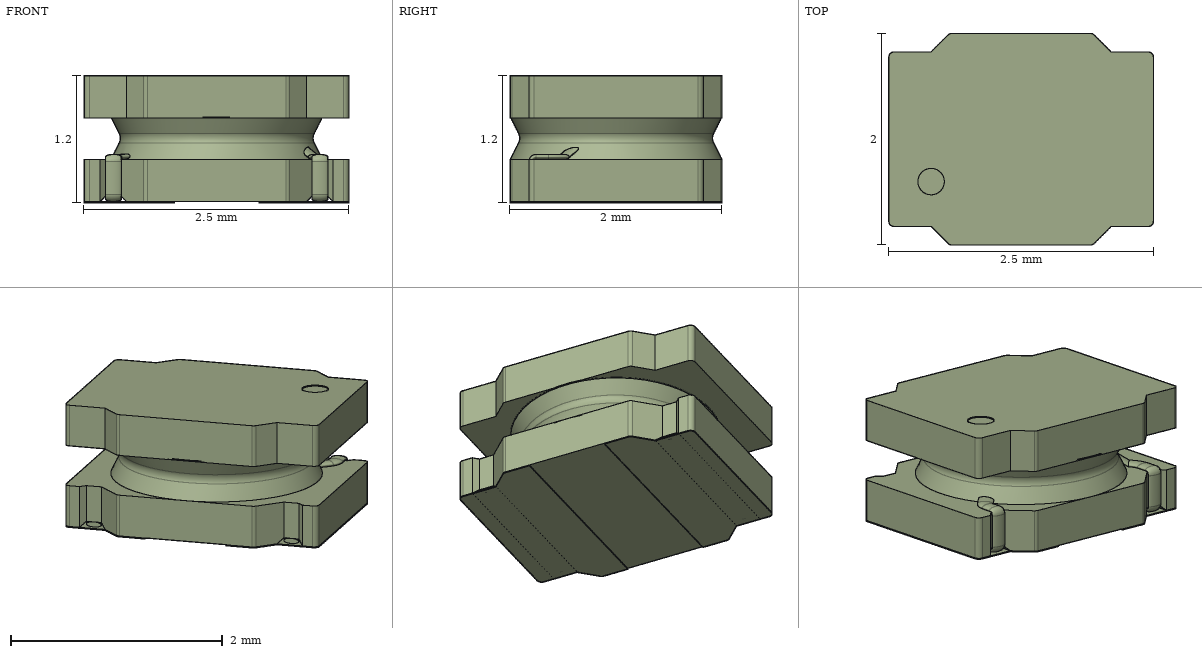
import cadquery as cq
import math

LENGTH = 2.5
WIDTH = 2.0
HEIGHT = 1.2
WING_WIDTH = 1.65
WING_ROOT_X = 0.85
CORNER_RADIUS = 0.05
FLANGE_THICKNESS = 0.4
POST_DIAMETER = 1.0

MARK_DIAMETER = 0.25
MARK_DEPTH = 0.01
MARK_X = -0.85
MARK_Y = -0.4

TERMINAL_THICKNESS = 0.01
TERMINAL_INNER_X = 0.4

RESIN_END_RADIUS = 1.0
RESIN_GROOVE_DEPTH = 0.1
RESIN_GROOVE_RADIUS = 0.1
RESIN_HEIGHT = 0.4

WINDING_RADIUS = 0.75
WIRE_WIDTH = 0.15
WIRE_THICKNESS = 0.05
LEAD_X = 0.975
LEAD_BEND_RADIUS = 0.045
LEAD_RISE = 0.022
LEAD_TURN_ANGLE = 45.0
LEFT_TURN_Y = -0.65
LEFT_TURN_RADIUS = 0.112
LEFT_REACH = 0.45
LEFT_CLIMB = 0.012
RIGHT_TURN_Y = -0.638
RIGHT_TURN_RADIUS = 0.2
RIGHT_REACH = 0.4
RIGHT_CLIMB = 0.238

CHANNEL_DEPTH = WIRE_THICKNESS
CHANNEL_FLOOR = WIRE_WIDTH

FLANGE_BOTTOM_Z = TERMINAL_THICKNESS
FLANGE_TOP_Z = FLANGE_BOTTOM_Z + FLANGE_THICKNESS
UPPER_FLANGE_Z = HEIGHT - FLANGE_THICKNESS


def make_plate(bottom_z, thickness):
    """Plate with the flange outline: a wide middle, narrower wings, rounded outer corners."""
    shoulder = (WIDTH - WING_WIDTH) / 2
    wings = cq.Workplane().rect(LENGTH, WING_WIDTH).extrude(thickness)
    wings = wings.edges("|Z").fillet(CORNER_RADIUS)
    middle_corner_x = WING_ROOT_X - shoulder
    middle = (
        cq.Workplane()
        .polyline([
            (WING_ROOT_X, -WING_WIDTH / 2),
            (WING_ROOT_X, WING_WIDTH / 2),
            (middle_corner_x, WIDTH / 2),
            (-middle_corner_x, WIDTH / 2),
            (-WING_ROOT_X, WING_WIDTH / 2),
            (-WING_ROOT_X, -WING_WIDTH / 2),
            (-middle_corner_x, -WIDTH / 2),
            (middle_corner_x, -WIDTH / 2),
        ])
        .close()
        .extrude(thickness)
    )
    middle = middle.faces("<Y or >Y").edges("|Z").fillet(CORNER_RADIUS)
    return wings.union(middle).translate((0, 0, bottom_z))


def make_axis_cylinder(radius):
    """Cylinder on the post axis, from the bottom flange to the resin seat in the top flange."""
    return cq.Workplane(origin=(0, 0, FLANGE_TOP_Z)).circle(radius).extrude(RESIN_HEIGHT)


def make_channels(x):
    """Cutter for one lead: up both sides of the bottom flange and along its underside."""
    half_floor = CHANNEL_FLOOR / 2
    half_mouth = half_floor + CHANNEL_DEPTH
    side_y = WING_WIDTH / 2
    floor_y = side_y - CHANNEL_DEPTH
    cutter = (
        cq.Workplane("XZ", origin=(x, WIDTH / 2, FLANGE_BOTTOM_Z))
        .polyline([
            (-half_mouth, 0),
            (half_mouth, 0),
            (half_floor, CHANNEL_DEPTH),
            (-half_floor, CHANNEL_DEPTH),
        ])
        .close()
        .extrude(WIDTH)
    )
    for side in (-1, 1):
        side_cut = (
            cq.Workplane(origin=(x, 0, FLANGE_BOTTOM_Z))
            .polyline([
                (-half_mouth, side * side_y),
                (half_mouth, side * side_y),
                (half_floor, side * floor_y),
                (-half_floor, side * floor_y),
            ])
            .close()
            .extrude(FLANGE_THICKNESS)
        )
        cutter = cutter.union(side_cut)
    return cutter


def make_resin_envelope():
    """Solid of revolution of the resin outside, from the post axis outwards."""
    slope = math.atan2(RESIN_GROOVE_DEPTH, RESIN_HEIGHT / 2)
    waist_radius = RESIN_END_RADIUS - RESIN_GROOVE_DEPTH
    tangent = RESIN_GROOVE_RADIUS * math.tan(slope)
    arc_end_r = waist_radius + tangent * math.sin(slope)
    arc_end_z = tangent * math.cos(slope)
    arc_mid_r = waist_radius + RESIN_GROOVE_RADIUS * (1 / math.cos(slope) - 1)
    return (
        cq.Workplane("XZ", origin=(0, 0, FLANGE_TOP_Z + RESIN_HEIGHT / 2))
        .moveTo(0, -RESIN_HEIGHT / 2)
        .lineTo(RESIN_END_RADIUS, -RESIN_HEIGHT / 2)
        .lineTo(arc_end_r, -arc_end_z)
        .threePointArc((arc_mid_r, 0), (arc_end_r, arc_end_z))
        .lineTo(RESIN_END_RADIUS, RESIN_HEIGHT / 2)
        .lineTo(0, RESIN_HEIGHT / 2)
        .close()
        .revolve(360, (0, 0), (0, 1))
    )


def make_lead(side, turn_y, turn_radius, reach, climb):
    """One lead, from the underside of the bottom flange into the winding."""
    x = side * LEAD_X
    bend = LEAD_BEND_RADIUS
    bend_mid = bend * (1 - math.sqrt(0.5))
    half_thickness = WIRE_THICKNESS / 2
    side_y = -WING_WIDTH / 2 + half_thickness
    low_z = FLANGE_BOTTOM_Z + half_thickness
    high_z = FLANGE_TOP_Z + LEAD_RISE
    far_y = WING_WIDTH / 2 - CHANNEL_DEPTH
    angle = math.radians(LEAD_TURN_ANGLE)

    def turn_point(turned):
        """Centreline point after turning through the given angle."""
        return (
            x - side * turn_radius * (1 - math.cos(turned)),
            turn_y + turn_radius * math.sin(turned),
            high_z,
        )

    turn_end = turn_point(angle)
    path = cq.Wire.assembleEdges([
        cq.Edge.makeLine(cq.Vector(x, far_y, low_z), cq.Vector(x, side_y + bend, low_z)),
        cq.Edge.makeThreePointArc(
            cq.Vector(x, side_y + bend, low_z),
            cq.Vector(x, side_y + bend_mid, low_z + bend_mid),
            cq.Vector(x, side_y, low_z + bend),
        ),
        cq.Edge.makeLine(cq.Vector(x, side_y, low_z + bend), cq.Vector(x, side_y, high_z - bend)),
        cq.Edge.makeThreePointArc(
            cq.Vector(x, side_y, high_z - bend),
            cq.Vector(x, side_y + bend_mid, high_z - bend_mid),
            cq.Vector(x, side_y + bend, high_z),
        ),
        cq.Edge.makeLine(cq.Vector(x, side_y + bend, high_z), cq.Vector(x, turn_y, high_z)),
        cq.Edge.makeThreePointArc(
            cq.Vector(x, turn_y, high_z),
            cq.Vector(*turn_point(angle / 2)),
            cq.Vector(*turn_end),
        ),
    ])
    bent_part = (
        cq.Workplane("XZ", origin=(x, far_y, low_z))
        .ellipse(WIRE_WIDTH / 2, half_thickness)
        .sweep(cq.Workplane(path))
    )

    run_x = -side * math.sin(angle)
    run_y = math.cos(angle)
    section_plane = cq.Plane(turn_end, xDir=(run_y, -run_x, 0), normal=(run_x, run_y, 0))
    section = cq.Workplane(section_plane).ellipse(WIRE_WIDTH / 2, half_thickness).wire().val()
    run = cq.Vector(reach * run_x, reach * run_y, climb)
    straight_part = cq.Solid.extrudeLinear(section, [], run)
    return bent_part.union(cq.Workplane(straight_part))


def make_wire():
    """Winding around the post with both leads, as one solid."""
    winding = make_axis_cylinder(WINDING_RADIUS)
    left_lead = make_lead(-1, LEFT_TURN_Y, LEFT_TURN_RADIUS, LEFT_REACH, LEFT_CLIMB)
    right_lead = make_lead(1, RIGHT_TURN_Y, RIGHT_TURN_RADIUS, RIGHT_REACH, RIGHT_CLIMB)
    post_hole = make_axis_cylinder(POST_DIAMETER / 2)
    return winding.union(left_lead).union(right_lead).cut(post_hole)


def make_core(wire):
    """Both flanges and the post, with the mark, the resin seat and the lead channels."""
    bottom_flange = make_plate(FLANGE_BOTTOM_Z, FLANGE_THICKNESS)
    for side in (-1, 1):
        bottom_flange = bottom_flange.cut(make_channels(side * LEAD_X))
    top_flange = make_plate(UPPER_FLANGE_Z, FLANGE_THICKNESS).cut(make_resin_envelope())
    post = make_axis_cylinder(POST_DIAMETER / 2)
    mark = (
        cq.Workplane(origin=(MARK_X, MARK_Y, HEIGHT - MARK_DEPTH))
        .circle(MARK_DIAMETER / 2)
        .extrude(MARK_DEPTH)
    )
    return bottom_flange.union(post).union(top_flange).cut(mark).cut(wire)


def make_resin(wire):
    """Resin ring around the winding, with passages for the leads."""
    inside = make_axis_cylinder(WINDING_RADIUS)
    return make_resin_envelope().cut(inside).cut(wire)


def make_terminal(side):
    """Plate that follows the flange outline at one end."""
    plate_length = LENGTH / 2 - TERMINAL_INNER_X
    end_block = (
        cq.Workplane(origin=(side * (TERMINAL_INNER_X + plate_length / 2), 0, 0))
        .rect(plate_length, WIDTH)
        .extrude(TERMINAL_THICKNESS)
    )
    return make_plate(0, TERMINAL_THICKNESS).intersect(end_block)


wire = make_wire()
core = make_core(wire)
resin = make_resin(wire)
terminals = [make_terminal(side).solids().val() for side in (-1, 1)]

result = cq.Compound.makeCompound([
    core.solids().val(),
    resin.solids().val(),
    wire.solids().val(),
    *terminals,
])